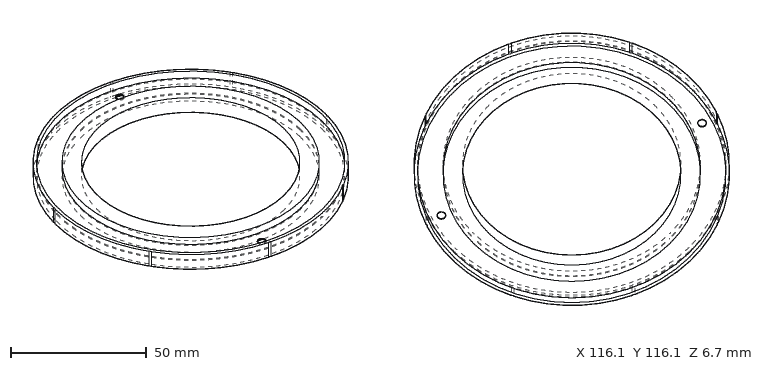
import cadquery as cq

outer_diameter = 116.1
bore_diameter = 80.3
height = 6.7

collar_diameter = 94.7
rim_inner_diameter = 113.5
channel_depth = 3.1

hole_diameter = 3.1
hole_spacing = 104.2

groove_count = 8
groove_width = 1.0
groove_depth = 0.17


def ring(outer, inner, thickness, base_z):
    """Flat ring around Z, given its two diameters."""
    return (
        cq.Workplane("XY")
        .workplane(offset=base_z)
        .circle(outer / 2)
        .circle(inner / 2)
        .extrude(thickness)
    )


def mounting_holes():
    """Two full-height pins on the X axis, to be cut away."""
    return (
        cq.Workplane("XY")
        .pushPoints([(-hole_spacing / 2, 0), (hole_spacing / 2, 0)])
        .circle(hole_diameter / 2)
        .extrude(height)
    )


def index_grooves():
    """Full-height cylinders whose arcs graze the outer wall at equal angles."""
    half_width = groove_width / 2
    cutter_radius = (half_width**2 + groove_depth**2) / (2 * groove_depth)
    return (
        cq.Workplane("XY")
        .polarArray(outer_diameter / 2 - groove_depth + cutter_radius, 0, 360, groove_count)
        .circle(cutter_radius)
        .extrude(height)
    )


body = ring(outer_diameter, bore_diameter, height, 0)
top_channel = ring(rim_inner_diameter, collar_diameter, channel_depth, height - channel_depth)
bottom_channel = ring(rim_inner_diameter, collar_diameter, channel_depth, 0)

result = body.cut(top_channel).cut(bottom_channel).cut(mounting_holes()).cut(index_grooves())